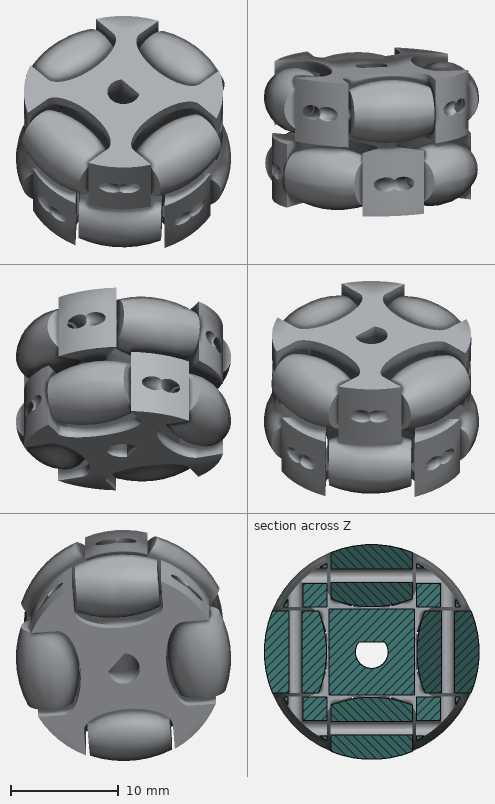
import cadquery as cq
import math

wheel_diameter = 20.0
disc_diameter = 18.5
disc_thickness = 6.0
disc_gap = 0.5
hub_diameter = 8.0
bore_diameter = 3.0
bore_flat_offset = 0.88

roller_count = 4
roller_diameter = 5.85
roller_length = 7.65
roller_bore = 1.2
axle_hole = 1.35

slot_width = 8.28
slot_end_depth = 1.9
plate_thickness = 1.0

wheel_radius = wheel_diameter / 2
roller_axis_radius = wheel_radius - roller_diameter / 2
slot_end_center = hub_diameter / 2 + slot_end_depth
total_height = 2 * disc_thickness + disc_gap
core_height = disc_thickness - 2 * plate_thickness
pitch_angle = 360 / roller_count
lower_disc_angle = pitch_angle / 2
upper_disc_base = disc_thickness + disc_gap
disc_places = [(0, lower_disc_angle), (upper_disc_base, 0)]


def around_axis(shape):
    """Copies of a shape, one per roller position about the wheel axis."""
    return [shape.rotate((0, 0, 0), (0, 0, 1), i * pitch_angle) for i in range(roller_count)]


def placed(shape, base, angle):
    """Move a shape built on the XY plane to its disc."""
    return shape.rotate((0, 0, 0), (0, 0, 1), angle).translate((0, 0, base))


def make_roller_slot():
    """Full-height slot on the +Y side with parallel walls and a half-ellipse inner end."""
    half_width = slot_width / 2
    return (
        cq.Workplane("XY")
        .moveTo(half_width, slot_end_center)
        .lineTo(half_width, wheel_radius)
        .lineTo(-half_width, wheel_radius)
        .lineTo(-half_width, slot_end_center)
        .ellipseArc(half_width, slot_end_depth, 180, 360, startAtCurrent=True)
        .close()
        .extrude(disc_thickness)
    )


def make_open_core():
    """Cross-shaped opening between the cover plates that leaves a square core post standing."""
    mid_height = cq.Workplane("XY", origin=(0, 0, plate_thickness))
    along_y = mid_height.rect(slot_width, wheel_diameter).extrude(core_height)
    along_x = mid_height.rect(wheel_diameter, slot_width).extrude(core_height)
    post = mid_height.rect(hub_diameter, hub_diameter).extrude(core_height)
    return along_y.union(along_x).cut(post)


def make_axle_hole():
    """Axle hole parallel to X across the arms on both sides of the +Y slot."""
    return (
        cq.Workplane("YZ", origin=(0, roller_axis_radius, disc_thickness / 2))
        .circle(axle_hole / 2)
        .extrude(wheel_radius, both=True)
    )


def make_disc():
    """Disc with roller slots, an open core between its cover plates, and axle holes."""
    disc = cq.Workplane("XY").circle(disc_diameter / 2).extrude(disc_thickness)
    for slot in around_axis(make_roller_slot()):
        disc = disc.cut(slot)
    disc = disc.cut(make_open_core())
    for hole in around_axis(make_axle_hole()):
        disc = disc.cut(hole)
    return disc


def make_shaft_bore():
    """D-shaped through bore with its flat on the +Y side."""
    flat_half_width = math.sqrt((bore_diameter / 2) ** 2 - bore_flat_offset ** 2)
    return (
        cq.Workplane("XY")
        .moveTo(-flat_half_width, bore_flat_offset)
        .threePointArc((0, -bore_diameter / 2), (flat_half_width, bore_flat_offset))
        .close()
        .extrude(total_height)
    )


def make_wheel():
    """Both slotted discs joined by the round neck, with the shaft bore through them."""
    neck = cq.Workplane("XY", origin=(0, 0, disc_thickness))
    wheel = neck.circle(hub_diameter / 2).extrude(disc_gap)
    disc = make_disc()
    for base, angle in disc_places:
        wheel = wheel.union(placed(disc, base, angle))
    return wheel.cut(make_shaft_bore())


def make_roller():
    """Barrel roller at +Y whose crown follows the rolling circle of the wheel."""
    half_length = roller_length / 2
    end_radius = math.sqrt(wheel_radius ** 2 - half_length ** 2) - roller_axis_radius
    roller = (
        cq.Workplane("XY")
        .moveTo(-half_length, roller_bore / 2)
        .lineTo(-half_length, end_radius)
        .threePointArc((0, roller_diameter / 2), (half_length, end_radius))
        .lineTo(half_length, roller_bore / 2)
        .close()
        .revolve(360, (0, 0, 0), (1, 0, 0))
    )
    return roller.translate((0, roller_axis_radius, disc_thickness / 2))


wheel = make_wheel()
rollers = [
    placed(roller, base, angle)
    for base, angle in disc_places
    for roller in around_axis(make_roller())
]

result = cq.Compound.makeCompound([wheel.val(), *[roller.val() for roller in rollers]])